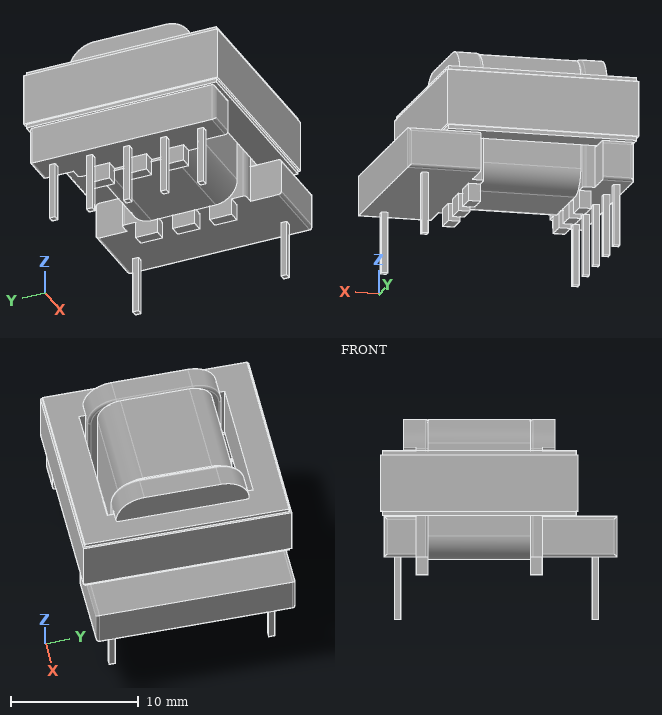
import cadquery as cq


total_height = 15.69
pin_length = 4.9
base_height = 3.2
core_height = 5.08
core_clearance = 0.05
base_bottom = pin_length
base_top = base_bottom + base_height
core_bottom = base_top + core_clearance
core_top = core_bottom + core_height
flange_lip_bottom = core_top + core_clearance

band_length = 15.5
band_width = 16.72
band_inset = 0.15
band_setback = 0.32
window_length = 10.2
window_width = 11.7

winding_length = 8.0
winding_width = 9.25
winding_bottom = 4.7
winding_radius = 1.85

flange_thickness = 0.95
lip_reach = 1.0
flange_width = 10.7
flange_radius = 2.28
edge_round = 0.22
flange_inner_x = winding_length / 2
flange_outer_x = flange_inner_x + flange_thickness
lip_outer_x = flange_outer_x + lip_reach

base_width = 16.0
base_left_x = -7.45
base_right_x = 10.8
base_round = 0.25

foot_width = 1.9
foot_drop = 1.4
pin_pitch = 3.2
pin_size = 0.5
left_pin_x = -6.4
right_pin_x = 9.1
foot_rows = (-1, 0, 1)
left_pin_rows = (-2, -1, 0, 1, 2)
right_pin_rows = (-2, 2)


def block(x_start, x_end, width, z_start, z_end):
    """Box between two X and two Z positions, centred on Y = 0."""
    return (
        cq.Workplane("XY", origin=((x_start + x_end) / 2, 0, z_start))
        .rect(x_end - x_start, width)
        .extrude(z_end - z_start)
    )


def make_core():
    half_band = band_length / 2
    half_ring = half_band - band_inset
    half_window = window_length / 2
    ring = block(-half_ring, half_ring, band_width - 2 * band_inset, core_bottom, core_top)
    band = block(-half_band, half_band, band_width, core_bottom + band_setback, core_top - band_setback)
    window = block(-half_window, half_window, window_width, core_bottom, core_top)
    return ring.union(band).cut(window)


def make_winding():
    half_length = winding_length / 2
    winding = block(-half_length, half_length, winding_width, winding_bottom, total_height)
    return winding.edges("|X").fillet(winding_radius)


def make_right_flange():
    plate = block(flange_inner_x, flange_outer_x, flange_width, base_bottom, total_height)
    lip = block(flange_outer_x, lip_outer_x, flange_width, flange_lip_bottom, total_height)
    lip = lip.edges("|X and <Z").fillet(edge_round)
    envelope = block(flange_inner_x, lip_outer_x, flange_width, base_bottom, total_height)
    envelope = envelope.edges("|X and >Z").fillet(flange_radius)
    envelope = envelope.faces("<X").edges("not <Z").fillet(edge_round)
    return plate.union(lip).intersect(envelope)


def make_base_block(flange_x, end_x):
    """Block from a flange face to its outer end, rounded along its two Y faces."""
    base = block(min(flange_x, end_x), max(flange_x, end_x), base_width, base_bottom, base_top)
    flange_side = "<X" if flange_x < end_x else ">X"
    return base.faces("<Y or >Y").edges(f"not {flange_side}").fillet(base_round)


def make_feet(x_start, x_end):
    foot = block(x_start, x_end, foot_width, base_bottom - foot_drop, base_bottom)
    return [foot.translate((0, row * pin_pitch, 0)) for row in foot_rows]


def make_pins(pin_x, rows):
    pin = block(pin_x - pin_size / 2, pin_x + pin_size / 2, pin_size, 0, pin_length)
    return [pin.translate((0, row * pin_pitch, 0)) for row in rows]


def make_bobbin():
    right_flange = make_right_flange()
    parts = [
        right_flange,
        right_flange.mirror("YZ"),
        make_base_block(-flange_outer_x, base_left_x),
        make_base_block(flange_outer_x, base_right_x),
        *make_feet(-flange_outer_x, -flange_inner_x),
        *make_feet(flange_inner_x, flange_outer_x),
        *make_pins(left_pin_x, left_pin_rows),
        *make_pins(right_pin_x, right_pin_rows),
    ]
    bobbin = make_winding()
    for part in parts:
        bobbin = bobbin.union(part)
    return bobbin


core = make_core()
bobbin = make_bobbin()

result = cq.Compound.makeCompound([core.val(), *bobbin.vals()])